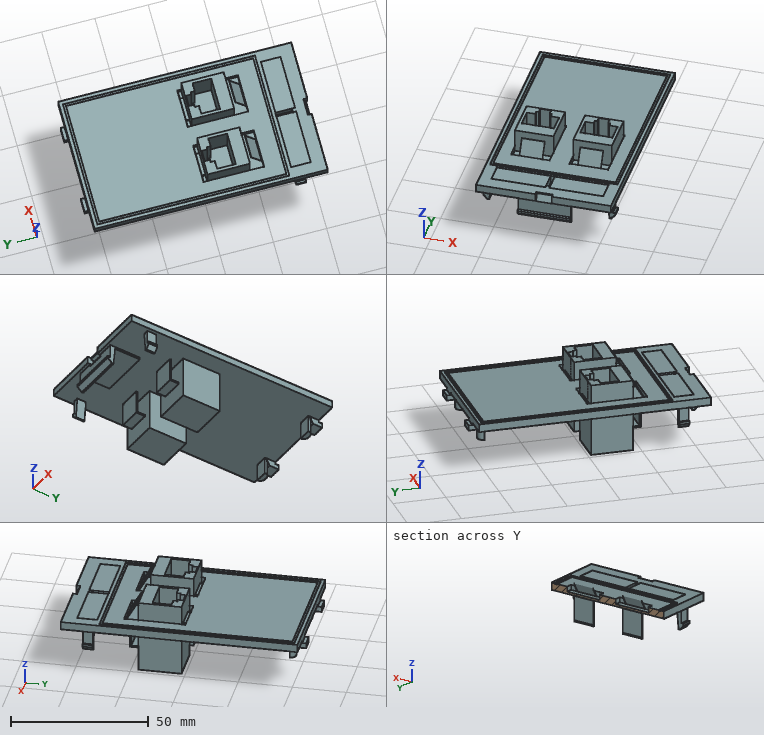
import cadquery as cq


PLATE_WIDTH = 50.7
PLATE_LENGTH = 87.6
PLATE_THICKNESS = 3.0

GROOVE_MARGIN = 1.4
GROOVE_FRONT = 14.1
GROOVE_WIDTH = 0.9
GROOVE_DEPTH = 0.3

LABEL_OUTER_X = 21.0
LABEL_FRONT = 5.25
LABEL_REAR = 12.6
LABEL_DEPTH = 0.1
SLOT_WIDTH = 1.5
SLOT_FRONT = 6.4
BACKING_REAR = 14.0
BACKING_THICKNESS = 0.9

JACK_PITCH = 22.0
JACK_WIDTH = 14.5
JACK_FRONT = 27.3
JACK_LENGTH = 15.9
JACK_RISE = 7.0
JACK_HEIGHT = 27.5
SOCKET_DEPTH = 12.5
SOCKET_FRONT = 32.3
SOCKET_STEPS = [(6.05, 39.3), (2.9, 40.85), (2.05, 42.9)]

POCKET_FRONT = 22.0
POCKET_REAR = 44.7
POCKET_DEPTH = 2.0
CATCH_HEIGHT = 1.0

LATCH_WIDTH = 8.6
LATCH_LEG_FRONT = 23.5
LATCH_BOTTOM = -13.0
LATCH_THICKNESS = 0.6
LEVER_TIP_Y = 26.2
LEVER_TIP_Z = 5.0
LEVER_THICKNESS = 0.2

SNAP_BOTTOM = -11.3
SNAP_BARB_TOP = -8.6
SNAP_BARB_EDGE = -9.5
SNAP_TIP_INSET = 0.7
SNAP_TIP_THICKNESS = 1.3
SNAP_ROOT_THICKNESS = 2.1
FRONT_SNAP_INSET = 1.2
FRONT_SNAP_BARB = 1.2
FRONT_SNAP_WIDTH = 19.8
SIDE_SNAP_INSET = 1.4
SIDE_SNAP_BARB = 0.9
SIDE_SNAP_WIDTH = 3.7
SIDE_SNAP_Y = 9.8

NOTCH_WIDTH = 6.2
NOTCH_LIP_DEPTH = 1.4
NOTCH_LIP_HEIGHT = 0.5
NOTCH_GROOVE_DEPTH = 2.8
NOTCH_GROOVE_Z = -1.25

REAR_HOOK_X = 14.15
REAR_HOOK_WIDTH = 5.1
REAR_HOOK_REACH = 1.4
REAR_HOOK_TOP = -3.8
REAR_HOOK_BOTTOM = -5.9
POST_FRONT = 82.95
POST_REAR = 85.0
POST_BOTTOM = -10.3
HOOK_ROOT_Y = 83.5


def box(x_min, x_max, y_min, y_max, z_min, z_max):
    size = (x_max - x_min, y_max - y_min, z_max - z_min)
    return cq.Workplane("XY").box(*size, centered=False).translate((x_min, y_min, z_min))


def centred_box(width, y_min, y_max, z_min, z_max):
    return box(-width / 2, width / 2, y_min, y_max, z_min, z_max)


def side_profile(points, width):
    """Extrude a closed (y, z) outline along X, centred on X = 0."""
    return cq.Workplane("YZ").polyline(points).close().extrude(width / 2, both=True)


def make_plate():
    plate = centred_box(PLATE_WIDTH, 0, PLATE_LENGTH, -PLATE_THICKNESS, 0)
    outer_width = PLATE_WIDTH - 2 * GROOVE_MARGIN
    groove_rear = PLATE_LENGTH - GROOVE_MARGIN
    outer = centred_box(outer_width, GROOVE_FRONT, groove_rear, -GROOVE_DEPTH, 0)
    inner = centred_box(
        outer_width - 2 * GROOVE_WIDTH,
        GROOVE_FRONT + GROOVE_WIDTH,
        groove_rear - GROOVE_WIDTH,
        -GROOVE_DEPTH,
        0,
    )
    return plate.cut(outer.cut(inner))


def make_label_recesses():
    right = box(SLOT_WIDTH / 2, LABEL_OUTER_X, LABEL_FRONT, LABEL_REAR, -LABEL_DEPTH, 0)
    slot = centred_box(SLOT_WIDTH, SLOT_FRONT, LABEL_REAR, -PLATE_THICKNESS, 0)
    return slot.union(right).union(right.mirror("YZ"))


def make_backing():
    """Pad under the label area, closing the bottom of the slot."""
    bottom = -PLATE_THICKNESS - BACKING_THICKNESS
    return centred_box(FRONT_SNAP_WIDTH, FRONT_SNAP_INSET, BACKING_REAR, bottom, -PLATE_THICKNESS)


def make_snap(width, barb):
    """Snap hook with its outer face on Y = 0 and its barb pointing to -Y."""
    outline = [
        (0, -PLATE_THICKNESS),
        (0, SNAP_BARB_TOP),
        (-barb, SNAP_BARB_TOP),
        (-barb, SNAP_BARB_EDGE),
        (SNAP_TIP_INSET, SNAP_BOTTOM),
        (SNAP_TIP_THICKNESS, SNAP_BOTTOM),
        (SNAP_ROOT_THICKNESS, -PLATE_THICKNESS),
    ]
    return side_profile(outline, width)


def make_snaps():
    front = make_snap(FRONT_SNAP_WIDTH, FRONT_SNAP_BARB).translate((0, FRONT_SNAP_INSET, 0))
    right = make_snap(SIDE_SNAP_WIDTH, SIDE_SNAP_BARB).rotate((0, 0, 0), (0, 0, 1), 90)
    right = right.translate((PLATE_WIDTH / 2 - SIDE_SNAP_INSET, SIDE_SNAP_Y, 0))
    return front.union(right).union(right.mirror("YZ"))


def make_pry_notch():
    """Notch with a short vertical lip over an undercut groove that slopes out to the front."""
    bottom = -PLATE_THICKNESS - BACKING_THICKNESS
    outline = [
        (0, 0),
        (NOTCH_LIP_DEPTH, 0),
        (NOTCH_LIP_DEPTH, -NOTCH_LIP_HEIGHT),
        (NOTCH_GROOVE_DEPTH, NOTCH_GROOVE_Z),
        (FRONT_SNAP_INSET, bottom),
        (0, bottom),
    ]
    return side_profile(outline, NOTCH_WIDTH)


def make_rear_hook():
    """Hook with a sloping root, carried by a post whose rear corners are quarter rounds."""
    radius = POST_REAR - POST_FRONT
    half_width = REAR_HOOK_WIDTH / 2
    post = (
        cq.Workplane("XY", origin=(0, 0, POST_BOTTOM))
        .moveTo(-half_width, POST_FRONT)
        .radiusArc((-half_width + radius, POST_REAR), radius)
        .lineTo(half_width - radius, POST_REAR)
        .radiusArc((half_width, POST_FRONT), radius)
        .close()
        .extrude(-PLATE_THICKNESS - POST_BOTTOM)
    )
    tip = PLATE_LENGTH + REAR_HOOK_REACH
    outline = [
        (HOOK_ROOT_Y, -PLATE_THICKNESS),
        (PLATE_LENGTH, -PLATE_THICKNESS),
        (PLATE_LENGTH, REAR_HOOK_TOP),
        (tip, REAR_HOOK_TOP),
        (tip, REAR_HOOK_BOTTOM),
        (POST_REAR, REAR_HOOK_BOTTOM),
    ]
    return post.union(side_profile(outline, REAR_HOOK_WIDTH))


def make_socket():
    socket = cq.Workplane("XY")
    for half_width, rear in SOCKET_STEPS:
        step = centred_box(2 * half_width, SOCKET_FRONT, rear, JACK_RISE - SOCKET_DEPTH, JACK_RISE)
        socket = socket.union(step)
    return socket


def make_latch():
    """L-shaped spring leg below the plate and a sloping finger lever above it."""
    leg_rear = LATCH_LEG_FRONT + LATCH_THICKNESS
    arm_top = LATCH_BOTTOM + LATCH_THICKNESS
    leg = centred_box(LATCH_WIDTH, LATCH_LEG_FRONT, leg_rear, LATCH_BOTTOM, -PLATE_THICKNESS)
    arm = centred_box(LATCH_WIDTH, LATCH_LEG_FRONT, JACK_FRONT, LATCH_BOTTOM, arm_top)
    lever_outline = [
        (POCKET_FRONT, -POCKET_DEPTH),
        (LEVER_TIP_Y - LEVER_THICKNESS, LEVER_TIP_Z),
        (LEVER_TIP_Y, LEVER_TIP_Z),
        (POCKET_FRONT + LEVER_THICKNESS, -POCKET_DEPTH),
    ]
    return leg.union(arm).union(side_profile(lever_outline, LATCH_WIDTH))


def make_jack():
    jack_rear = JACK_FRONT + JACK_LENGTH
    body = centred_box(JACK_WIDTH, JACK_FRONT, jack_rear, JACK_RISE - JACK_HEIGHT, JACK_RISE)
    catch = centred_box(LATCH_WIDTH, jack_rear, POCKET_REAR, -POCKET_DEPTH, CATCH_HEIGHT - POCKET_DEPTH)
    return body.union(catch).union(make_latch())


def make_pocket():
    return centred_box(JACK_WIDTH, POCKET_FRONT, POCKET_REAR, -POCKET_DEPTH, 0)


jack_positions = [(side * JACK_PITCH / 2, 0, 0) for side in (-1, 1)]
rear_hook_positions = [(side * REAR_HOOK_X, 0, 0) for side in (-1, 1)]

result = make_plate().cut(make_label_recesses())
result = result.union(make_backing()).union(make_snaps()).cut(make_pry_notch())
for position in rear_hook_positions:
    result = result.union(make_rear_hook().translate(position))
for position in jack_positions:
    result = result.cut(make_pocket().translate(position))
    result = result.union(make_jack().translate(position))
    result = result.cut(make_socket().translate(position))